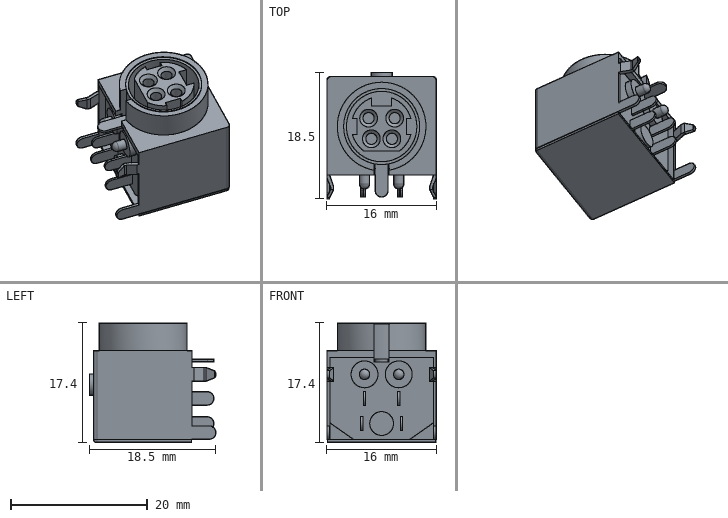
import cadquery as cq
import math


shell_width = 16.0
shell_front_y = -7.1
shell_back_y = 7.3
shell_top_z = 13.4
shell_corner_radius = 0.55
wall = 0.45
sheet = 0.4
floor_inset = 0.07

recess_depth = 1.0
top_lip = 0.98
corner_cut_width = 3.45
corner_cut_height = 2.4

top_z = 17.4
collar_radius = 6.48
sleeve_radius = 5.55
sleeve_drop = 0.13
cavity_radius = 5.15
slot_width = 2.18
slot_floor_z = 11.75

core_radius = 4.42
core_flat_y = -3.59
top_notch_width = 2.92
top_notch_floor_y = 3.02
side_notch_width = 2.33
side_notch_floor_x = 3.6
hole_radius = 0.81
hole_mouth_radius = 1.3
countersink_angle = 90
hole_places = [(side * x, y) for x, y in [(1.9, 1.22), (1.5, -1.8)] for side in (1, -1)]

terminal_tip_y = -10.3
terminal_thickness = 0.33
terminal_height = 2.0
terminal_places = [(2.5, 6.42), (2.89, 2.75)]
sleeve_tail_width = 1.89
boss_x = 2.5
boss_z = 9.93
boss_radius = 1.96
peg_radius = 0.75
peg_tip_y = -9.12
gate_boss_radius = 1.74
gate_boss_z = 2.75

leg_tip_y = -10.6
leg_height = 1.96
spring_height = 2.02
spring_z = 9.93
spring_taper_y = -9.18
spring_nose_y = -10.36
spring_nose_height = 1.07
spring_bend_y = -7.4
spring_outer_crest_y = -8.88
spring_outer_crest_depth = 0.54
spring_inner_crest_start_y = -8.7
spring_inner_crest_end_y = -9.25
spring_inner_crest_depth = 0.98
spring_inner_nose_y = -10.42

stud_radius = 1.55
stud_height = 0.6
stud_z = 8.44

half_width = shell_width / 2
inner_half_width = half_width - wall
inner_back_y = shell_back_y - sheet
recess_y = shell_front_y + recess_depth


def block(x0, x1, y0, y1, z0, z1):
    """Box between two opposite corners."""
    return cq.Workplane("XY").box(x1 - x0, y1 - y0, z1 - z0, centered=False).translate((x0, y0, z0))


def cylinder_up(radius, z0, z1):
    """Cylinder on the socket axis."""
    return cq.Workplane("XY").workplane(offset=z0).circle(radius).extrude(z1 - z0)


def cylinder_along_y(radius, x, z, y0, y1):
    """Cylinder parallel to Y, from y0 up to y1."""
    plane = cq.Plane(origin=(x, y0, z), xDir=(1, 0, 0), normal=(0, 1, 0))
    return cq.Workplane(plane).circle(radius).extrude(y1 - y0)


def round_blade(width, root_y, tip_y):
    """Outline of a flat blade, centred on Y, with a fully rounded tip at tip_y."""
    half = width / 2
    shoulder_y = tip_y + half
    return (
        cq.Workplane("XY")
        .moveTo(-half, root_y)
        .lineTo(-half, shoulder_y)
        .threePointArc((0, tip_y), (half, shoulder_y))
        .lineTo(half, root_y)
        .close()
    )


def upright_blade(x0, thickness, z, height, tip_y):
    """Blade standing in a YZ plane, rooted at the recess face, spanning x0 to x0 + thickness."""
    blade = round_blade(height, recess_y, tip_y).extrude(thickness)
    return blade.rotate((0, 0, 0), (0, 1, 0), 90).translate((x0, 0, z))


def both_sides(solid):
    """The solid together with its mirror image across the YZ plane."""
    return solid.union(solid.mirror("YZ"))


def shell():
    """Side and back walls with rounded back corners, and a floor bent from the back wall."""
    outer = block(-half_width, half_width, shell_front_y, shell_back_y, wall, shell_top_z)
    outer = outer.edges("|Z and >Y").fillet(shell_corner_radius)
    hollow = block(
        -inner_half_width, inner_half_width, shell_front_y, inner_back_y, wall, shell_top_z
    )

    floor_half = half_width - floor_inset
    floor_plan = block(-floor_half, floor_half, shell_front_y + floor_inset, shell_back_y, 0, wall)
    floor_plan = floor_plan.edges("|Z and >Y").fillet(shell_corner_radius)
    bend_y = shell_back_y - wall
    bend_middle = wall * math.sqrt(0.5)
    floor_profile = (
        cq.Workplane("YZ")
        .moveTo(shell_front_y, wall)
        .lineTo(shell_front_y, 0)
        .lineTo(bend_y, 0)
        .threePointArc((bend_y + bend_middle, wall - bend_middle), (shell_back_y, wall))
        .close()
        .extrude(half_width, both=True)
    )
    return outer.cut(hollow).union(floor_plan.intersect(floor_profile))


def insulator():
    """Block filling the shell, with a recessed front under a top lip and cut lower corners."""
    body = block(
        -inner_half_width, inner_half_width, shell_front_y, inner_back_y, wall, shell_top_z
    )
    recess = block(
        -inner_half_width, inner_half_width, shell_front_y, recess_y, wall, shell_top_z - top_lip
    )
    corner = (
        cq.Workplane("XZ")
        .polyline([
            (inner_half_width, wall),
            (inner_half_width - corner_cut_width, wall),
            (inner_half_width, wall + corner_cut_height),
        ])
        .close()
        .extrude(-(inner_back_y - shell_front_y))
        .translate((0, shell_front_y, 0))
    )
    return body.cut(recess).cut(both_sides(corner))


def plug_core():
    """Keyed round core with four countersunk contact holes."""
    core = cylinder_up(core_radius, slot_floor_z, top_z)
    core = core.cut(block(-core_radius, core_radius, -core_radius, core_flat_y, 0, top_z))
    half_top = top_notch_width / 2
    core = core.cut(block(-half_top, half_top, top_notch_floor_y, core_radius, 0, top_z))
    half_side = side_notch_width / 2
    core = core.cut(both_sides(block(side_notch_floor_x, core_radius, -half_side, half_side, 0, top_z)))
    return (
        core.faces(">Z")
        .workplane(origin=(0, 0, top_z))
        .pushPoints(hole_places)
        .cskHole(2 * hole_radius, 2 * hole_mouth_radius, countersink_angle, depth=top_z - slot_floor_z)
    )


def add_socket(body):
    """Collar with a metal sleeve inside, a front slot, and the plug core in the cavity."""
    half_slot = slot_width / 2
    slot = block(-half_slot, half_slot, shell_front_y, 0, slot_floor_z, top_z)
    slot = slot.cut(cylinder_up(sleeve_radius, 0, top_z))
    body = body.union(cylinder_up(collar_radius, shell_top_z, top_z)).cut(slot)
    body = body.cut(cylinder_up(sleeve_radius, top_z - sleeve_drop, top_z))
    body = body.cut(cylinder_up(cavity_radius, slot_floor_z, top_z))
    return body.union(plug_core())


def sleeve_tail():
    """Flat tail bent forward from the foot of the sleeve through the slot."""
    root_y = -(sleeve_radius + cavity_radius) / 2
    tail = round_blade(sleeve_tail_width, root_y, terminal_tip_y)
    return tail.extrude(sheet).translate((0, 0, slot_floor_z))


def peg():
    """Wide boss level with the shell front, carrying a round-nosed peg."""
    boss = cylinder_along_y(boss_radius, boss_x, boss_z, shell_front_y, recess_y)
    nose_y = peg_tip_y + peg_radius
    pin = cylinder_along_y(peg_radius, boss_x, boss_z, nose_y, recess_y)
    nose = cq.Workplane("XY").sphere(peg_radius).translate((boss_x, nose_y, boss_z))
    return boss.union(pin).union(nose)


def spring_leg():
    """Leg at the right wall, kinked inward and back out, with a tapered round nose."""
    outer_face = [
        (0, recess_y),
        (0, spring_bend_y),
        (spring_outer_crest_depth, spring_outer_crest_y),
        (spring_outer_crest_depth, spring_taper_y),
        (0, spring_nose_y),
        (0, leg_tip_y),
    ]
    inner_face = [
        (sheet, leg_tip_y),
        (sheet, spring_inner_nose_y),
        (spring_inner_crest_depth, spring_inner_crest_end_y),
        (spring_inner_crest_depth, spring_inner_crest_start_y),
        (wall, shell_front_y),
        (wall, recess_y),
    ]
    strip = (
        cq.Workplane("XY")
        .polyline([(half_width - inward, y) for inward, y in outer_face + inner_face])
        .close()
        .extrude(spring_height)
        .translate((0, 0, spring_z - spring_height / 2))
    )
    half = spring_height / 2
    half_nose = spring_nose_height / 2
    outline = (
        cq.Workplane("YZ")
        .moveTo(recess_y, spring_z - half)
        .lineTo(spring_taper_y, spring_z - half)
        .lineTo(spring_nose_y, spring_z - half_nose)
        .threePointArc((leg_tip_y, spring_z), (spring_nose_y, spring_z + half_nose))
        .lineTo(spring_taper_y, spring_z + half)
        .lineTo(recess_y, spring_z + half)
        .close()
        .extrude(half_width)
    )
    return strip.intersect(outline)


result = add_socket(shell().union(insulator()))
result = result.union(sleeve_tail())
result = result.union(both_sides(peg()))
result = result.union(cylinder_along_y(gate_boss_radius, 0, gate_boss_z, shell_front_y, recess_y))
for terminal_x, terminal_z in terminal_places:
    terminal = upright_blade(
        terminal_x - terminal_thickness / 2, terminal_thickness, terminal_z, terminal_height, terminal_tip_y
    )
    result = result.union(both_sides(terminal))
leg = upright_blade(half_width - sheet, sheet, wall + leg_height / 2, leg_height, leg_tip_y)
result = result.union(both_sides(leg))
result = result.union(both_sides(spring_leg()))
result = result.union(
    cylinder_along_y(stud_radius, 0, stud_z, inner_back_y, shell_back_y + stud_height)
)